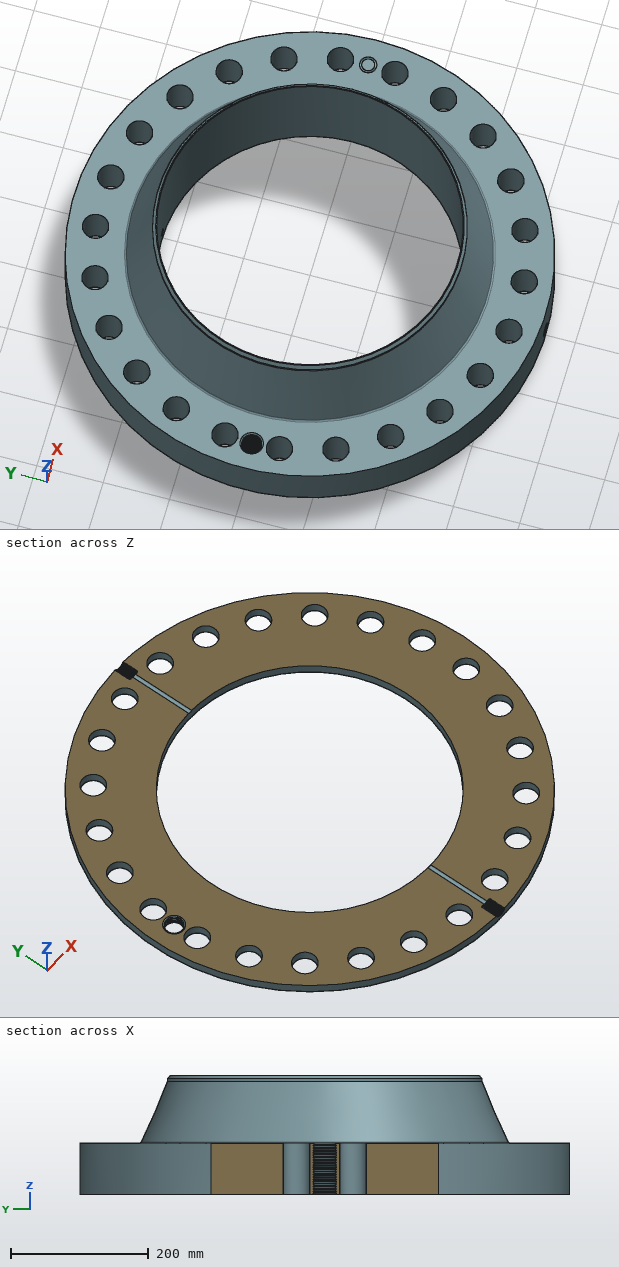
import cadquery as cq
import math

flange_diameter = 711.2
flange_radius = flange_diameter / 2
flange_thickness = 74.7
total_height = 173.02

bore_radius = 445.0 / 2
hub_base_radius = 534.7 / 2
hub_base_fillet = 3.0
weld_end_radius = 457.2 / 2
weld_land_width = 1.6
weld_bevel_height = 4.6
weld_collar_height = 4.0

bolt_count = 24
bolt_circle_radius = 628.65 / 2
bolt_hole_radius = 38.1 / 2

jack_major_radius = 34.0 / 2
jack_minor_radius = 29.2 / 2
jack_pitch = 3.5

ring_groove_outer_radius = 25.0 / 2
ring_groove_inner_radius = 19.0 / 2
ring_groove_depth = 1.0

tap_height = 19.0
tap_bore_radius = 10.5 / 2
tap_major_radius = 21.3 / 2
tap_minor_radius = 17.5 / 2
tap_pitch = 1.814
tap_socket_depth = 28.0


def flange_body():
    """Revolve the flange ring with its conical hub and bevelled weld end."""
    bevel_start = total_height - weld_bevel_height
    collar_start = bevel_start - weld_collar_height

    flank_angle = math.atan2(collar_start - flange_thickness, hub_base_radius - weld_end_radius)
    tangent_length = hub_base_fillet * math.tan(flank_angle / 2)
    flank_tangent = (
        hub_base_radius - tangent_length * math.cos(flank_angle),
        flange_thickness + tangent_length * math.sin(flank_angle),
    )
    face_tangent_radius = hub_base_radius + tangent_length

    profile = (
        cq.Workplane("XZ")
        .moveTo(bore_radius, 0)
        .lineTo(flange_radius, 0)
        .lineTo(flange_radius, flange_thickness)
        .lineTo(face_tangent_radius, flange_thickness)
        .tangentArcPoint(flank_tangent, relative=False)
        .lineTo(weld_end_radius, collar_start)
        .lineTo(weld_end_radius, bevel_start)
        .lineTo(bore_radius + weld_land_width, total_height)
        .lineTo(bore_radius, total_height)
        .close()
    )
    return profile.revolve(360, (0, 0, 0), (0, 1, 0))


def threaded_cutter(major_radius, minor_radius, pitch, depth):
    """Cutter along Z from z = 0 down to -depth; the thread is a stack of V-shaped ring grooves."""
    thread_count = math.floor(depth / pitch)
    profile = cq.Workplane("XZ").moveTo(0, 0).lineTo(major_radius, 0)
    for turn in range(thread_count):
        crest = -(turn + 0.5) * pitch
        root = -(turn + 1) * pitch
        profile = profile.lineTo(minor_radius, crest).lineTo(major_radius, root)
    profile = profile.lineTo(minor_radius, -depth).lineTo(0, -depth).close()
    return profile.revolve(360, (0, 0, 0), (0, 1, 0))


def bolt_holes():
    half_pitch_angle = 180 / bolt_count
    return (
        cq.Workplane("XY")
        .polarArray(bolt_circle_radius, half_pitch_angle, 360, bolt_count)
        .circle(bolt_hole_radius)
        .extrude(flange_thickness)
    )


def jack_screw_hole():
    cutter = threaded_cutter(jack_major_radius, jack_minor_radius, jack_pitch, flange_thickness)
    return cutter.translate((-bolt_circle_radius, 0, flange_thickness))


def ring_groove():
    return (
        cq.Workplane("XY", origin=(bolt_circle_radius, 0, flange_thickness - ring_groove_depth))
        .circle(ring_groove_outer_radius)
        .circle(ring_groove_inner_radius)
        .extrude(ring_groove_depth)
    )


def pressure_taps():
    """Two opposed taps on the Y axis, each running from the rim into the bore."""
    bore = (
        cq.Workplane("XZ", origin=(0, flange_radius, tap_height))
        .circle(tap_bore_radius)
        .extrude(flange_diameter)
    )
    socket = (
        threaded_cutter(tap_major_radius, tap_minor_radius, tap_pitch, tap_socket_depth)
        .rotate((0, 0, 0), (1, 0, 0), 90)
        .translate((0, -flange_radius, tap_height))
    )
    return bore.union(socket).union(socket.mirror("XZ"))


result = flange_body()
for cutter in (bolt_holes(), jack_screw_hole(), ring_groove(), pressure_taps()):
    result = result.cut(cutter)